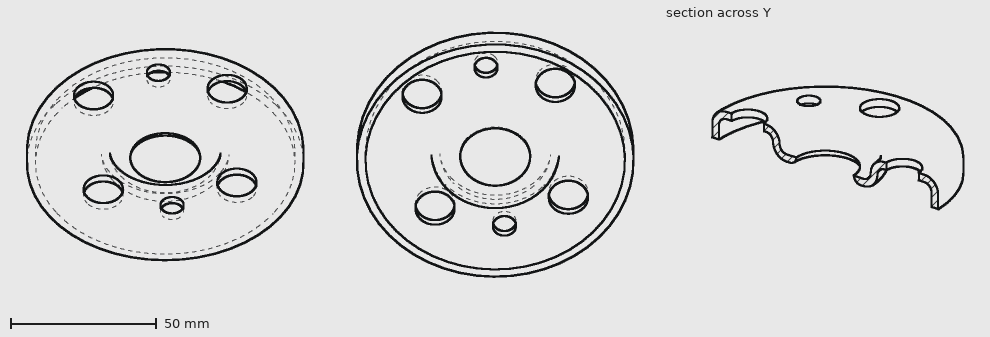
import cadquery as cq
import math

outer_radius = 47.5
height = 12.0
wall = height / 4
inner_bend = wall
outer_bend = inner_bend + wall
bend_level = height / 2
rim_lift = 0.3

dish_radius = 25.0
floor_radius = dish_radius - outer_bend - inner_bend
bore_radius = 12.0
bore_rounding = wall

hole_circle_radius = 32.5
large_hole_diameter = 13.5
small_hole_diameter = 8.0
large_hole_angles = (0, 90, 180, 270)
small_hole_angles = (135, 315)


def arc_point(center_x, radius, degrees):
    """Point on a bend whose centre lies at the bend level."""
    angle = math.radians(degrees)
    return (center_x + radius * math.cos(angle), bend_level + radius * math.sin(angle))


def make_shell():
    """Revolve the half section of the bent sheet about Z."""
    rim_bend_x = outer_radius - outer_bend
    section = (
        cq.Workplane("XZ")
        .moveTo(bore_radius, wall)
        .threePointArc(
            (bore_radius + bore_rounding * (1 - math.sqrt(0.5)), wall - bore_rounding * math.sqrt(0.5)),
            (bore_radius + bore_rounding, wall - bore_rounding),
        )
        .lineTo(floor_radius, 0)
        .threePointArc(arc_point(floor_radius, outer_bend, -45), arc_point(floor_radius, outer_bend, 0))
        .threePointArc(arc_point(dish_radius, inner_bend, 135), arc_point(dish_radius, inner_bend, 90))
        .lineTo(rim_bend_x, height - wall)
        .threePointArc(arc_point(rim_bend_x, inner_bend, 45), arc_point(rim_bend_x, inner_bend, 0))
        .lineTo(outer_radius - wall, rim_lift)
        .lineTo(outer_radius, rim_lift)
        .lineTo(outer_radius, bend_level)
        .threePointArc(arc_point(rim_bend_x, outer_bend, 45), arc_point(rim_bend_x, outer_bend, 90))
        .lineTo(dish_radius, height)
        .threePointArc(arc_point(dish_radius, outer_bend, 135), arc_point(dish_radius, outer_bend, 180))
        .threePointArc(arc_point(floor_radius, inner_bend, -45), arc_point(floor_radius, inner_bend, -90))
        .close()
    )
    return section.revolve(360, (0, 0, 0), (0, 1, 0))


def make_hole_cutters(diameter, angles):
    """Vertical cylinders on the hole circle at the given angles."""
    centers = []
    for degrees in angles:
        angle = math.radians(degrees)
        centers.append((hole_circle_radius * math.cos(angle), hole_circle_radius * math.sin(angle)))
    return cq.Workplane("XY").pushPoints(centers).circle(diameter / 2).extrude(height)


result = (
    make_shell()
    .cut(make_hole_cutters(large_hole_diameter, large_hole_angles))
    .cut(make_hole_cutters(small_hole_diameter, small_hole_angles))
)